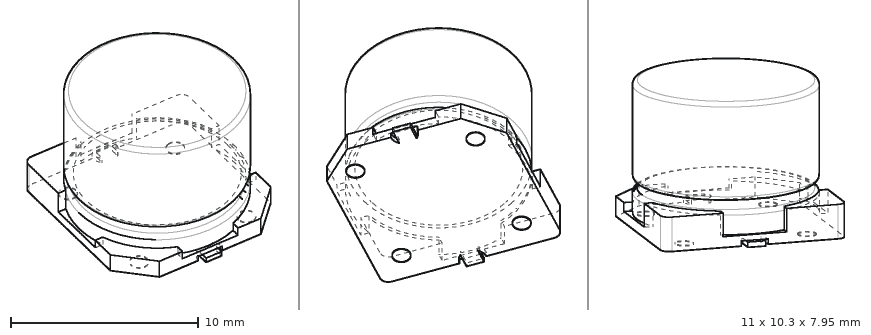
import cadquery as cq

foot_diameter = 1.0
foot_height = 0.05
foot_offset = 3.44

base_side = 10.3
tall_corner_height = 1.9
low_corner_height = 1.1
corner_fillet = 0.5
corner_chamfer = 1.89
notch_width = 3.56
notch_floor = 0.6

overall_height = 7.95
can_diameter = 10.0
can_radius = can_diameter / 2
can_top = overall_height - foot_height
can_edge_radius = 0.25
groove_center = 2.2
bead_radius = 0.25

terminal_span = 11.0
terminal_width = 1.0
terminal_thickness = 0.3
terminal_recess_radius = 0.76


def block(x_size, y_size, bottom, top, x_center=0):
    """Box centred on Y = 0, spanning the given heights."""
    return (
        cq.Workplane("XY", origin=(x_center, 0, bottom))
        .rect(x_size, y_size)
        .extrude(top - bottom)
    )


def make_base():
    """Notched plate with a seat for the can and recesses for the terminals."""
    half = base_side / 2
    plate = block(base_side, base_side, 0, tall_corner_height)
    plate = plate.edges("|Z and <X").fillet(corner_fillet)
    plate = plate.edges("|Z and >X").chamfer(corner_chamfer)

    plate = plate.cut(block(half, base_side, low_corner_height, tall_corner_height, half / 2))
    plate = plate.cut(block(notch_width, base_side, notch_floor, tall_corner_height))
    plate = plate.cut(block(base_side, notch_width, notch_floor, tall_corner_height))

    seat = cq.Workplane("XY", origin=(0, 0, notch_floor)).circle(can_radius)
    plate = plate.cut(seat.extrude(tall_corner_height - notch_floor))

    recesses = (
        cq.Workplane("XY")
        .pushPoints([(-half, 0), (half, 0)])
        .circle(terminal_recess_radius)
        .extrude(terminal_thickness)
    )
    return plate.cut(recesses)


def make_can():
    """Revolved can with a rounded top edge and a rolled groove above the base."""
    profile = (
        cq.Workplane("XZ")
        .moveTo(0, notch_floor)
        .lineTo(can_radius, notch_floor)
        .lineTo(can_radius, groove_center - 2 * bead_radius)
        .tangentArcPoint((-bead_radius, bead_radius), relative=True)
        .tangentArcPoint((0, 2 * bead_radius), relative=True)
        .tangentArcPoint((bead_radius, bead_radius), relative=True)
        .lineTo(can_radius, can_top - can_edge_radius)
        .tangentArcPoint((-can_edge_radius, can_edge_radius), relative=True)
        .lineTo(0, can_top)
        .close()
    )
    return profile.revolve(360, (0, 0, 0), (0, 1, 0))


def make_feet():
    """Four thin round pads under the base."""
    return (
        cq.Workplane("XY")
        .rect(2 * foot_offset, 2 * foot_offset, forConstruction=True)
        .vertices()
        .circle(foot_diameter / 2)
        .extrude(-foot_height)
    )


terminals = block(terminal_span, terminal_width, 0, terminal_thickness)
result = make_base().union(terminals).union(make_can()).union(make_feet())